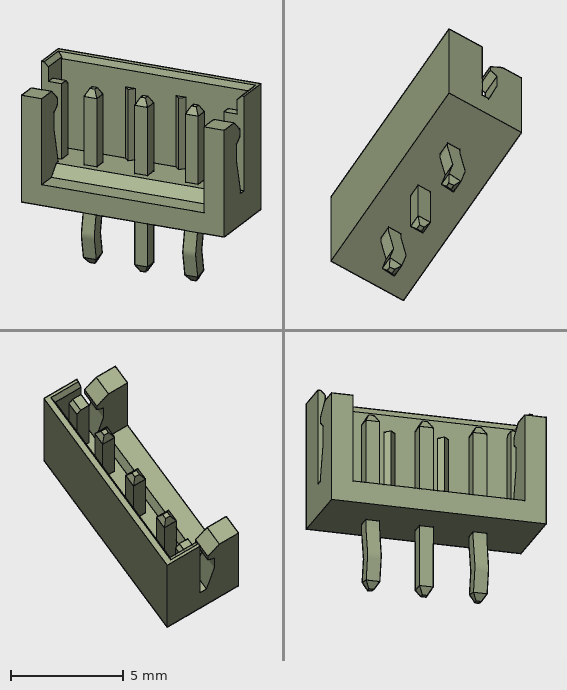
import cadquery as cq
import math

LENGTH = 10.0
WIDTH = 3.8
HEIGHT = 6.0
HALF_LENGTH = LENGTH / 2
BACK_Y = WIDTH / 2
FRONT_Y = -WIDTH / 2

FLOOR_Z = 1.5
SIDE_WALL = 0.35
BACK_WALL = 0.4
SIDE_WALL_FRONT_Y = 0.15
CAVITY_HALF_X = HALF_LENGTH - SIDE_WALL
CAVITY_BACK_Y = BACK_Y - BACK_WALL
SIDE_RIM_CHAMFER = 0.21
BACK_RIM_CHAMFER_DEPTH = 0.12
BACK_RIM_CHAMFER_HEIGHT = 0.28

ARM_WIDTH = 1.0
ARM_INNER_X = HALF_LENGTH - ARM_WIDTH
ARM_TOP_Z = 5.1
ARM_TOP_Y = -0.88
NOSE_Y = -0.26
NOSE_TOP_Z = 4.57
NOSE_BOTTOM_Z = 4.24
ARM_NECK_Y = -0.61
ARM_NECK_TOP_Z = 4.0
ARM_NECK_BOTTOM_Z = 3.1
ARM_ROOT_Y = -0.19

SILL_Z = 1.0
SILL_SLOPE_TOP_Y = -0.39
SILL_SLOPE_BOTTOM_Y = -0.9

GUIDE_BACK_Y = 0.8
GUIDE_SLOPE = 0.2
GUIDE_TOP_Z = ARM_TOP_Z

RIB_DEPTH = 0.25
RIB_TOP_Z = 4.9

PIN_COUNT = 3
PIN_PITCH = 2.5
PIN_Y = 0.3
PIN_SIZE = 0.64
HALF_PIN = PIN_SIZE / 2
PIN_TOP_Z = 5.1
PIN_BOTTOM_Z = -3.21
TIP_SIZE = 0.24
TIP_HEIGHT = 0.35
TIP_TAPER = (PIN_SIZE - TIP_SIZE) / 2 / TIP_HEIGHT

TAIL_ANGLE = 11.0
TAIL_START_Z = -0.37
KINK_Z = -1.76
TAIL_END_Z = -2.85
KINK_RADIUS = 0.7
TAIL_TIP_BACK_Y = 0.43
TAIL_TIP_FRONT_Y = 0.17

TAIL_SLOPE = math.tan(math.radians(TAIL_ANGLE))
TAIL_COS = math.cos(math.radians(TAIL_ANGLE))
TAIL_SIN = math.sin(math.radians(TAIL_ANGLE))
MITRE_RISE = HALF_PIN * math.tan(math.radians(TAIL_ANGLE / 2))
KINK_Y = PIN_Y - (TAIL_START_Z - KINK_Z) * TAIL_SLOPE
TAIL_END_Y = KINK_Y + (KINK_Z - TAIL_END_Z) * TAIL_SLOPE
TAIL_END_BACK = (TAIL_END_Y + HALF_PIN * TAIL_COS, TAIL_END_Z + HALF_PIN * TAIL_SIN)
TAIL_END_FRONT = (TAIL_END_Y - HALF_PIN * TAIL_COS, TAIL_END_Z - HALF_PIN * TAIL_SIN)


def box(x_range, y_range, z_range):
    """Axis-aligned block between the given limits."""
    size = [high - low for low, high in (x_range, y_range, z_range)]
    corner = (x_range[0], y_range[0], z_range[0])
    return cq.Workplane("XY").box(*size, centered=False).translate(corner)


def extrude_along_x(profile, x_start, x_end):
    """Extrude a closed (Y, Z) outline between two X positions."""
    plane = cq.Workplane("YZ", origin=(x_start, 0, 0))
    return plane.polyline(profile).close().extrude(x_end - x_start)


def housing_blank():
    """Side outline of the housing over its full length."""
    profile = [
        (FRONT_Y, 0),
        (BACK_Y, 0),
        (BACK_Y, HEIGHT),
        (SIDE_WALL_FRONT_Y, HEIGHT),
        (SIDE_WALL_FRONT_Y, FLOOR_Z),
        (ARM_ROOT_Y, FLOOR_Z),
        (ARM_NECK_Y, ARM_NECK_BOTTOM_Z),
        (ARM_NECK_Y, ARM_NECK_TOP_Z),
        (NOSE_Y, NOSE_BOTTOM_Z),
        (NOSE_Y, NOSE_TOP_Z),
        (ARM_TOP_Y, ARM_TOP_Z),
        (FRONT_Y, ARM_TOP_Z),
    ]
    return extrude_along_x(profile, -HALF_LENGTH, HALF_LENGTH)


def cavity():
    """Space between the side walls, in front of the back wall."""
    x_range = (-CAVITY_HALF_X, CAVITY_HALF_X)
    return box(x_range, (SIDE_WALL_FRONT_Y, CAVITY_BACK_Y), (FLOOR_Z, HEIGHT))


def rim_chamfers():
    """Wedges that bevel the inner top edges of the back and side walls."""
    back_top_y = CAVITY_BACK_Y + BACK_RIM_CHAMFER_DEPTH
    side_top_x = CAVITY_HALF_X + SIDE_RIM_CHAMFER
    back = extrude_along_x(
        [
            (SIDE_WALL_FRONT_Y, HEIGHT),
            (back_top_y, HEIGHT),
            (CAVITY_BACK_Y, HEIGHT - BACK_RIM_CHAMFER_HEIGHT),
            (SIDE_WALL_FRONT_Y, HEIGHT - BACK_RIM_CHAMFER_HEIGHT),
        ],
        -side_top_x,
        side_top_x,
    )
    sides = (
        cq.Workplane("XZ", origin=(0, back_top_y, 0))
        .polyline(
            [
                (-side_top_x, HEIGHT),
                (side_top_x, HEIGHT),
                (CAVITY_HALF_X, HEIGHT - SIDE_RIM_CHAMFER),
                (CAVITY_HALF_X, HEIGHT - BACK_RIM_CHAMFER_HEIGHT),
                (-CAVITY_HALF_X, HEIGHT - BACK_RIM_CHAMFER_HEIGHT),
                (-CAVITY_HALF_X, HEIGHT - SIDE_RIM_CHAMFER),
            ]
        )
        .close()
        .extrude(back_top_y - SIDE_WALL_FRONT_Y)
    )
    return back.intersect(sides)


def front_opening():
    """Opening between the latch arms, with a sloped step down to the sill."""
    profile = [
        (SIDE_WALL_FRONT_Y, FLOOR_Z),
        (SILL_SLOPE_TOP_Y, FLOOR_Z),
        (SILL_SLOPE_BOTTOM_Y, SILL_Z),
        (FRONT_Y, SILL_Z),
        (FRONT_Y, HEIGHT),
        (SIDE_WALL_FRONT_Y, HEIGHT),
    ]
    return extrude_along_x(profile, -ARM_INNER_X, ARM_INNER_X)


def guide_block(x_start):
    """Block between a side wall and the line of the arm's inner face."""
    profile = [
        (SIDE_WALL_FRONT_Y, FLOOR_Z),
        (GUIDE_BACK_Y, FLOOR_Z),
        (GUIDE_BACK_Y, GUIDE_TOP_Z - GUIDE_SLOPE),
        (GUIDE_BACK_Y - GUIDE_SLOPE, GUIDE_TOP_Z),
        (SIDE_WALL_FRONT_Y, GUIDE_TOP_Z),
    ]
    return extrude_along_x(profile, x_start, x_start + CAVITY_HALF_X - ARM_INNER_X)


def back_rib(x):
    """V rib with 45 degree faces on the back wall."""
    return (
        cq.Workplane("XY", origin=(x, CAVITY_BACK_Y, FLOOR_Z))
        .polyline([(-RIB_DEPTH, 0), (0, -RIB_DEPTH), (RIB_DEPTH, 0)])
        .close()
        .extrude(RIB_TOP_Z - FLOOR_Z)
    )


def pin_hole(x):
    """Square hole through the floor that a pin fills."""
    return (
        cq.Workplane("XY", origin=(x, PIN_Y, 0))
        .rect(PIN_SIZE, PIN_SIZE)
        .extrude(FLOOR_Z)
    )


def make_housing():
    body = housing_blank().cut(cavity()).cut(rim_chamfers()).cut(front_opening())
    for x_start in (-CAVITY_HALF_X, ARM_INNER_X):
        body = body.union(guide_block(x_start))
    for x in rib_positions:
        body = body.union(back_rib(x))
    for x in pin_positions:
        body = body.cut(pin_hole(x))
    return body


def pin_tip(x, base_z, height):
    """Four-sided tip; a negative height points it downward."""
    return (
        cq.Workplane("XY", origin=(x, PIN_Y, base_z))
        .rect(PIN_SIZE, PIN_SIZE)
        .workplane(offset=height)
        .rect(TIP_SIZE, TIP_SIZE)
        .loft(ruled=True)
    )


def pin_shank(x, bottom_z):
    """Square shank from bottom_z up, with the upper tip."""
    shoulder_z = PIN_TOP_Z - TIP_HEIGHT
    shank = (
        cq.Workplane("XY", origin=(x, PIN_Y, bottom_z))
        .rect(PIN_SIZE, PIN_SIZE)
        .extrude(shoulder_z - bottom_z)
    )
    return shank.union(pin_tip(x, shoulder_z, TIP_HEIGHT))


def make_straight_pin(x):
    shoulder_z = PIN_BOTTOM_Z + TIP_HEIGHT
    return pin_shank(x, shoulder_z).union(pin_tip(x, shoulder_z, -TIP_HEIGHT))


def kinked_tail(x):
    """Tail of constant thickness that bows toward the front and returns."""
    half_kink = HALF_PIN / TAIL_COS
    profile = [
        (PIN_Y - HALF_PIN, TAIL_START_Z + MITRE_RISE),
        (PIN_Y + HALF_PIN, TAIL_START_Z + MITRE_RISE),
        (PIN_Y + HALF_PIN, TAIL_START_Z - MITRE_RISE),
        (KINK_Y + half_kink, KINK_Z),
        TAIL_END_BACK,
        TAIL_END_FRONT,
        (KINK_Y - half_kink, KINK_Z),
    ]
    tail = extrude_along_x(profile, x - HALF_PIN, x + HALF_PIN)
    kink_edge = cq.selectors.NearestToPointSelector((x, KINK_Y - half_kink, KINK_Z))
    return tail.edges(kink_edge).fillet(KINK_RADIUS)


def tail_tip(x):
    """Tapered tip on the slanted end of a kinked tail, cut off level."""
    tip_profile = [
        TAIL_END_FRONT,
        TAIL_END_BACK,
        (TAIL_TIP_BACK_Y, PIN_BOTTOM_Z),
        (TAIL_TIP_FRONT_Y, PIN_BOTTOM_Z),
    ]
    tip = extrude_along_x(tip_profile, x - HALF_PIN, x + HALF_PIN)
    length = TAIL_END_BACK[1] - PIN_BOTTOM_Z
    half_end = HALF_PIN - length * TIP_TAPER
    end_plane = cq.Plane(
        origin=(x, TAIL_END_Y, TAIL_END_Z),
        xDir=(1, 0, 0),
        normal=(0, TAIL_COS, TAIL_SIN),
    )
    taper = (
        cq.Workplane(end_plane)
        .polyline([(-HALF_PIN, 0), (HALF_PIN, 0), (half_end, length), (-half_end, length)])
        .close()
        .extrude(HALF_PIN, both=True)
    )
    return tip.intersect(taper)


def make_kinked_pin(x):
    return pin_shank(x, TAIL_START_Z + MITRE_RISE).union(kinked_tail(x)).union(tail_tip(x))


first_pin_x = -PIN_PITCH * (PIN_COUNT - 1) / 2
pin_positions = [first_pin_x + i * PIN_PITCH for i in range(PIN_COUNT)]
rib_positions = [x + PIN_PITCH / 2 for x in pin_positions[:-1]]

housing = make_housing()
straight_pins = [make_straight_pin(x) for x in pin_positions[1:-1]]
kinked_pins = [make_kinked_pin(x) for x in (pin_positions[0], pin_positions[-1])]

result = cq.Compound.makeCompound(
    [housing.val(), *[pin.val() for pin in straight_pins + kinked_pins]]
)